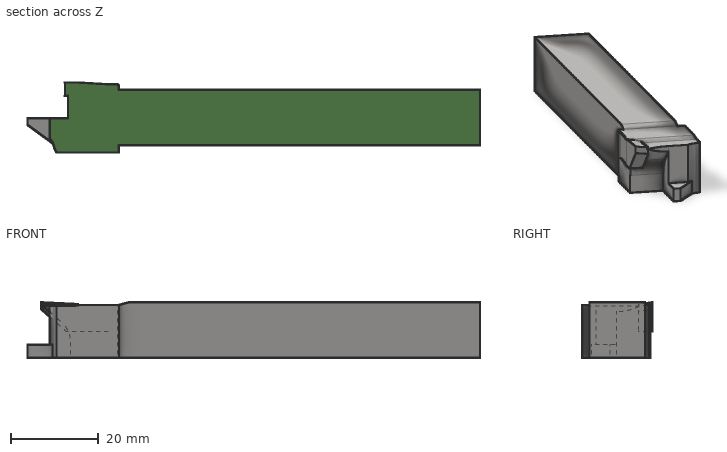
import cadquery as cq
import math

total_length = 103.3
head_width = 15.6
blade_side_y = 16.0
shank_size = 12.7
shank_side_y = 1.7
head_height = 12.1
head_end_x = 20.9
ramp_end_x = 23.1
corner_chamfer = 0.3

nose_height = 11.8
nose_front_x = 5.1
nose_flat_end_x = 9.3
nose_rise_end_x = 12.0
round_start_y = 3.2
round_middle = (5.7, 2.3)
round_end = (6.1, 1.0)
nose_corner_x = 6.6
recess_side_y = 7.9
hood_middle_x = 4.8

hood_edge_z = 10.5
hood_slope_end = (7.9, 8.1)
recess_wall_x = 9.8
recess_wall_top_z = 4.1

finger_height = 3.0
finger_tip_width = 1.5
finger_root = (5.8, 2.1)

blade_tip_x = 3.1
blade_tip_z = 11.2
blade_inner_y = 12.9
blade_inner_front_x = 3.7
blade_end_x = 11.6
blade_foot_end_x = 18.7
blade_bottom_z = 6.0
blade_underside_end_x = 8.9
blade_side_fall = 0.5
blade_back_fall = 0.4


def make_shank():
    """Square bar with a ramp rising from the head to the full bar height."""
    shank = (
        cq.Workplane("XZ")
        .moveTo(head_end_x, 0)
        .lineTo(total_length, 0)
        .lineTo(total_length, shank_size)
        .lineTo(ramp_end_x, shank_size)
        .lineTo(head_end_x, head_height)
        .close()
        .extrude(-shank_size)
    )
    return shank.translate((0, shank_side_y, 0))


def make_head():
    """Head block with its curved front and the shallow step across the nose."""
    hood_middle = (hood_middle_x, (recess_side_y + blade_inner_y) / 2)
    head = (
        cq.Workplane("XY")
        .moveTo(nose_corner_x, 0)
        .lineTo(head_end_x, 0)
        .lineTo(head_end_x, head_width - corner_chamfer)
        .lineTo(head_end_x - corner_chamfer, head_width)
        .lineTo(blade_tip_x, head_width)
        .lineTo(blade_inner_front_x, blade_inner_y)
        .threePointArc(hood_middle, (nose_front_x, recess_side_y))
        .lineTo(nose_front_x, round_start_y)
        .threePointArc(round_middle, round_end)
        .close()
        .extrude(head_height)
    )
    run = nose_rise_end_x - nose_flat_end_x
    rise = head_height - nose_height
    rise_radius = (run**2 + rise**2) / (2 * rise)
    middle_run = run / 2
    middle_rise = rise_radius - math.sqrt(rise_radius**2 - middle_run**2)
    step = (
        cq.Workplane("XZ")
        .moveTo(0, nose_height)
        .lineTo(nose_flat_end_x, nose_height)
        .threePointArc(
            (nose_flat_end_x + middle_run, nose_height + middle_rise),
            (nose_rise_end_x, head_height),
        )
        .lineTo(0, head_height)
        .close()
        .extrude(-head_width)
    )
    return head.cut(step)


def make_recess():
    """Cutter that leaves an overhang with a sloped and rounded underside."""
    slope = (hood_edge_z - hood_slope_end[1]) / (hood_slope_end[0] - nose_front_x)
    recess = (
        cq.Workplane("XZ")
        .moveTo(0, 0)
        .lineTo(0, hood_edge_z + slope * nose_front_x)
        .lineTo(*hood_slope_end)
        .tangentArcPoint((recess_wall_x, recess_wall_top_z), relative=False)
        .lineTo(recess_wall_x, 0)
        .close()
        .extrude(-blade_side_y)
    )
    return recess.translate((0, recess_side_y, 0))


def make_finger():
    """Tapered finger standing forward along the base."""
    return (
        cq.Workplane("XY")
        .moveTo(0, recess_side_y)
        .lineTo(0, recess_side_y - finger_tip_width)
        .lineTo(*finger_root)
        .lineTo(nose_corner_x, recess_side_y)
        .close()
        .extrude(finger_height)
    )


def make_blade():
    """Blade with a sloped underside and a top falling inward and backward."""
    side_profile = (
        cq.Workplane("XZ")
        .moveTo(blade_tip_x, shank_size)
        .lineTo(blade_tip_x, blade_tip_z)
        .lineTo(blade_underside_end_x, blade_bottom_z)
        .lineTo(blade_foot_end_x, blade_bottom_z)
        .lineTo(blade_foot_end_x, head_height)
        .lineTo(blade_end_x, head_height)
        .lineTo(blade_end_x, shank_size)
        .close()
        .extrude(-blade_side_y)
    )
    plan = (
        cq.Workplane("XY")
        .moveTo(blade_tip_x, blade_side_y)
        .lineTo(blade_inner_front_x, blade_inner_y)
        .lineTo(blade_end_x, blade_inner_y)
        .lineTo(blade_end_x, head_width)
        .lineTo(blade_foot_end_x, head_width)
        .lineTo(blade_end_x, blade_side_y)
        .close()
        .extrude(shank_size)
    )
    side_fall_angle = math.degrees(math.atan2(blade_side_fall, blade_side_y - blade_inner_y))
    back_fall_angle = math.degrees(math.atan2(blade_back_fall, blade_end_x - blade_tip_x))
    top_cut = (
        cq.Workplane("XY")
        .box(total_length, total_length, shank_size, centered=(True, True, False))
        .rotate((0, 0, 0), (1, 0, 0), side_fall_angle)
        .rotate((0, 0, 0), (0, 1, 0), back_fall_angle)
        .translate((blade_tip_x, blade_side_y, shank_size))
    )
    return side_profile.intersect(plan).cut(top_cut)


head = make_head().cut(make_recess())
result = head.union(make_shank()).union(make_finger()).union(make_blade())